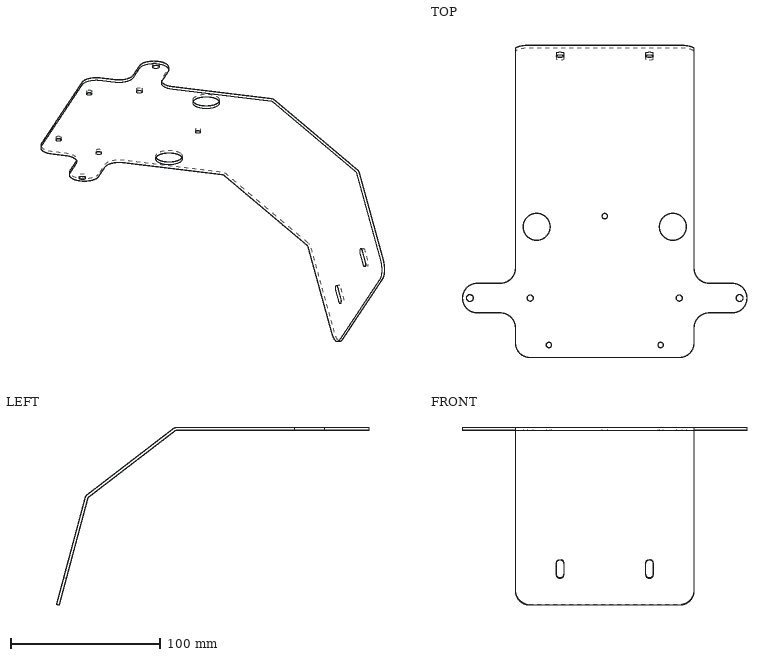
import cadquery as cq
import math

thickness = 2.0
plate_width = 120.0
corner_radius = 10.0

middle_angle = math.radians(37.5)
rear_angle = 2 * middle_angle
bend_inner_radius = 2.0
bend_outer_radius = bend_inner_radius + thickness

deck_length = 130.42
middle_length = 75.43
rear_length = middle_length

lug_span = 191.0
lug_width = 20.0
lug_y = 40.0
lug_root_radius = 10.0
lug_hole_x = 90.5
lug_hole_diameter = 4.5

small_hole_diameter = 3.5
center_hole_y = 95.0
middle_hole_diameter = 4.0
middle_hole_x = 50.0
front_hole_x = 37.5
front_hole_y = 8.5
large_hole_diameter = 18.0
large_hole_x = 45.7
large_hole_y = 87.8

slot_x = 30.0
slot_width = 5.0
slot_length = 12.8
slot_from_end = 25.0


def along(point, angle, distance):
    """Move down the slope of a panel."""
    return (point[0] + distance * math.cos(angle), point[1] - distance * math.sin(angle))


def inward(point, angle, distance):
    """Move from the outer face of a panel towards its inner face."""
    return (point[0] - distance * math.sin(angle), point[1] - distance * math.cos(angle))


first_fold = (deck_length, 0.0)
second_fold = along(first_fold, middle_angle, middle_length)
rear_end = along(second_fold, rear_angle, rear_length)


def inner_fold(fold, angle_before, angle_after):
    """Corner of the inner face that lies on the bisector of a fold."""
    bisector = (angle_before + angle_after) / 2
    half_turn = (angle_after - angle_before) / 2
    return inward(fold, bisector, thickness / math.cos(half_turn))


def round_fold(sheet, corner, radius):
    """Round the fold edge that runs along X through a (Y, Z) corner."""
    edge = cq.selectors.NearestToPointSelector((0.0, corner[0], corner[1]))
    return sheet.edges("|X").edges(edge).fillet(radius)


def make_folded_sheet():
    inner_first = inner_fold(first_fold, 0.0, middle_angle)
    inner_second = inner_fold(second_fold, middle_angle, rear_angle)
    outline = [
        (0.0, 0.0),
        first_fold,
        second_fold,
        rear_end,
        inward(rear_end, rear_angle, thickness),
        inner_second,
        inner_first,
        (0.0, -thickness),
    ]
    sheet = cq.Workplane("YZ").polyline(outline).close().extrude(plate_width / 2, both=True)
    for corner in (first_fold, second_fold):
        sheet = round_fold(sheet, corner, bend_outer_radius)
    for corner in (inner_first, inner_second):
        sheet = round_fold(sheet, corner, bend_inner_radius)
    return sheet


def round_corners(sheet):
    """Round the two front corners and the two rear corners of the sheet."""
    sheet = sheet.faces("<Y").edges("|Z").fillet(corner_radius)
    return sheet.faces("<Z").edges("not |X").fillet(corner_radius)


def add_lugs(sheet):
    lugs = (
        cq.Workplane("XY")
        .center(0.0, lug_y)
        .slot2D(lug_span, lug_width)
        .extrude(-thickness)
    )
    sheet = sheet.union(lugs)
    half_width = plate_width / 2
    for x in (-half_width, half_width):
        for y in (lug_y - lug_width / 2, lug_y + lug_width / 2):
            root = cq.selectors.NearestToPointSelector((x, y, -thickness / 2))
            sheet = sheet.edges("|Z").edges(root).fillet(lug_root_radius)
    return sheet


def mirrored_pair(x, y):
    """The two points at +x and -x."""
    return [(-x, y), (x, y)]


def cut_deck_holes(sheet, points, diameter):
    holes = cq.Workplane("XY").pushPoints(points).circle(diameter / 2).extrude(-thickness)
    return sheet.cut(holes)


def cut_rear_slots(sheet):
    center = along(rear_end, rear_angle, -slot_from_end)
    rear_plane = cq.Plane(
        origin=(0.0, center[0], center[1]),
        xDir=(1.0, 0.0, 0.0),
        normal=(0.0, math.sin(rear_angle), math.cos(rear_angle)),
    )
    slots = (
        cq.Workplane(rear_plane)
        .pushPoints(mirrored_pair(slot_x, 0.0))
        .slot2D(slot_length, slot_width, 90)
        .extrude(-thickness)
    )
    return sheet.cut(slots)


small_hole_points = [
    (0.0, center_hole_y),
    *mirrored_pair(front_hole_x, front_hole_y),
]

plate = add_lugs(round_corners(make_folded_sheet()))
plate = cut_deck_holes(plate, small_hole_points, small_hole_diameter)
plate = cut_deck_holes(plate, mirrored_pair(middle_hole_x, lug_y), middle_hole_diameter)
plate = cut_deck_holes(plate, mirrored_pair(lug_hole_x, lug_y), lug_hole_diameter)
plate = cut_deck_holes(plate, mirrored_pair(large_hole_x, large_hole_y), large_hole_diameter)
result = cut_rear_slots(plate)